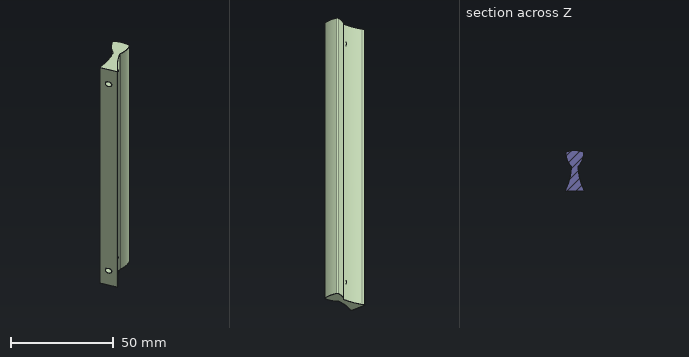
import cadquery as cq
import math

length = 148.0
depth = 20.0
width = 9.0
half_width = width / 2

foot_edge_height = 0.5
foot_edge_radius = 0.22
flare_mid_half_width = 4.5
flare_mid_y = 1.0
flare_half_width = 4.1
flare_end_y = 1.6

waist_mid_half_width = 2.5
waist_mid_y = 6.2
neck_width = 3.4
neck_half_width = neck_width / 2
neck_y = 12.0

head_mid_half_width = 3.5
head_mid_y = 14.8
head_half_width = 4.5
head_end_y = 18.5
crown_half_width = 4.0
crown_start_y = 19.4
head_corner_bulge = 0.12

hole_diameter = 3.3
hole_spacing = 128.0
hole_depth = 10.0
drill_point_angle = 118.0


def make_bar():
    """Extrude the symmetric hourglass section along Z."""
    corner_mid_half_width = (head_half_width + crown_half_width) / 2 + head_corner_bulge
    corner_mid_y = (head_end_y + crown_start_y) / 2 + head_corner_bulge
    section = (
        cq.Workplane("XY")
        .moveTo(-half_width, 0)
        .lineTo(half_width, 0)
        .lineTo(half_width, foot_edge_height)
        .threePointArc((flare_mid_half_width, flare_mid_y), (flare_half_width, flare_end_y))
        .threePointArc((waist_mid_half_width, waist_mid_y), (neck_half_width, neck_y))
        .threePointArc((head_mid_half_width, head_mid_y), (head_half_width, head_end_y))
        .threePointArc((corner_mid_half_width, corner_mid_y), (crown_half_width, crown_start_y))
        .threePointArc((0, depth), (-crown_half_width, crown_start_y))
        .threePointArc((-corner_mid_half_width, corner_mid_y), (-head_half_width, head_end_y))
        .threePointArc((-head_mid_half_width, head_mid_y), (-neck_half_width, neck_y))
        .threePointArc((-waist_mid_half_width, waist_mid_y), (-flare_half_width, flare_end_y))
        .threePointArc((-flare_mid_half_width, flare_mid_y), (-half_width, foot_edge_height))
        .close()
    )
    bar = section.extrude(length / 2, both=True)
    return bar.faces("<Y").edges("|Z").fillet(foot_edge_radius)


def make_drill(z):
    """Revolve a blind hole with a conical bottom about an axis along Y."""
    radius = hole_diameter / 2
    point_length = radius / math.tan(math.radians(drill_point_angle / 2))
    return (
        cq.Workplane("XY")
        .polyline([(0, 0), (radius, 0), (radius, hole_depth), (0, hole_depth + point_length)])
        .close()
        .revolve(360, (0, 0), (0, 1))
        .translate((0, 0, z))
    )


result = make_bar()
for side in (-1, 1):
    result = result.cut(make_drill(side * hole_spacing / 2))